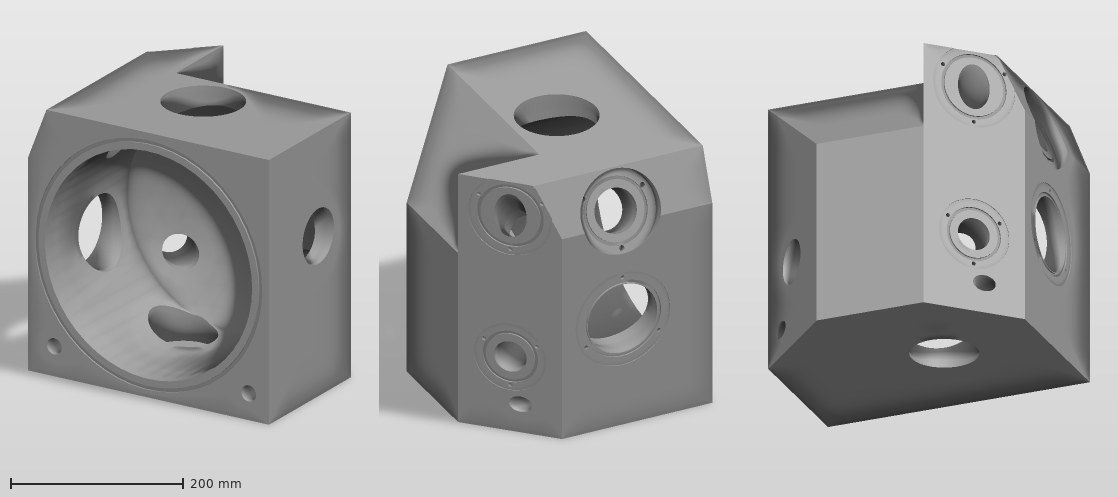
import cadquery as cq
import math

WIDTH = 330.0
DEPTH = 285.0
HALF = WIDTH / 2
SHOULDER_RIGHT = 180.0
SHOULDER_LEFT = 195.0
CHAMFER_WIDTH = 25.0
CHAMFER_HEIGHT = 64.5

CAVITY_DIAMETER = 283.8
CAVITY_STRAIGHT = 181.0
DOME_RADIUS = 231.0
SEAL_OUTER = 311.2
SEAL_INNER = 301.5
SEAL_DEPTH = 2.0

AXIS_Y = 120.0
RIGHT_AXIS_Y = 117.0
SIDE_PORT_Y = 116.0
SIDE_PORT_Z = -24.5
CHAMFER_PORT_Z = 110.0
CHAMFER_SPOTFACE_DEPTH = 14.2
UPPER_PORT_Z = 120.5
LOWER_PORT_Z = -67.0
RIGHT_PORT_Z = -58.7
RIGHT_PORT_DIAMETER = 54.0
SLANTED_BORE_LENGTH = 80.5
SHALLOW_SPOTFACE = 1.0
GROOVE_DEPTH = 2.0
BOLT_HOLE_DEPTH = 10.0
BOLT_COUNT = 3
BOLT_UP = 90
BOLT_DOWN = -90

SIDE_PORT = {
    "spotface": 122.5,
    "groove_outer": 100.0,
    "groove_inner": 92.0,
    "bore": 90.0,
    "bolt_circle": 109.0,
    "bolt_hole": 5.0,
}
CHAMFER_PORT = {
    "spotface": 103.0,
    "groove_outer": 82.0,
    "groove_inner": 74.0,
    "bore": 54.0,
    "bolt_circle": 89.0,
    "bolt_hole": 6.5,
}
UPPER_PORT = {
    "spotface": 103.0,
    "groove_outer": 82.0,
    "groove_inner": 74.0,
    "bore": 40.0,
    "bolt_circle": 89.0,
    "bolt_hole": 5.0,
}
LOWER_PORT = {
    "spotface": 88.0,
    "groove_outer": 67.5,
    "groove_inner": 60.0,
    "bore": 40.0,
    "bolt_circle": 75.0,
    "bolt_hole": 5.0,
}

TOP_HOLE_DIAMETER = 100.0
TOP_HOLE_Y = 120.0
FLOOR_HOLE_DIAMETER = 82.0
FLOOR_HOLE_X = -41.0
FLOOR_HOLE_Y = 141.5
RIGHT_HOLE_DIAMETER = 69.0
RIGHT_HOLE_Y = 108.2
RIGHT_HOLE_Z = 34.3

MOUNT_DIAMETER = 20.0
MOUNT_CENTRES = [(-129.0, -127.7), (137.3, -131.7)]

LEFT_BEVEL_END = -HALF + DEPTH - SHOULDER_LEFT
RIGHT_BEVEL_END = HALF - (DEPTH - SHOULDER_RIGHT)
REACH = 132.0


def outward_plane(origin, normal):
    """Plane facing along normal, with its local x horizontal and its local y upward."""
    return cq.Plane(origin=origin, xDir=(-normal[1], normal[0], 0), normal=normal)


def bore(plane, diameter, length):
    """Cylinder that runs from the plane into the block (outward if length is negative)."""
    return cq.Workplane(plane).circle(diameter / 2).extrude(-length)


def ring_groove(plane, outer, inner, depth):
    return cq.Workplane(plane).circle(outer / 2).circle(inner / 2).extrude(-depth)


def port_face(body, seat, port, first_angle, spotface_height):
    """Cut a spotface down to the seat plane, then a seal groove and the bolt holes in it."""
    body = body.cut(cq.Workplane(seat).circle(port["spotface"] / 2).extrude(spotface_height))
    body = body.cut(ring_groove(seat, port["groove_outer"], port["groove_inner"], GROOVE_DEPTH))
    bolts = (
        cq.Workplane(seat)
        .polarArray(port["bolt_circle"] / 2, first_angle, 360, BOLT_COUNT)
        .circle(port["bolt_hole"] / 2)
        .extrude(-BOLT_HOLE_DEPTH)
    )
    return body.cut(bolts)


def block():
    outline = [
        (-HALF, 0),
        (HALF, 0),
        (HALF, SHOULDER_RIGHT),
        (RIGHT_BEVEL_END, DEPTH),
        (LEFT_BEVEL_END, DEPTH),
        (-HALF, SHOULDER_LEFT),
    ]
    body = cq.Workplane("XY", origin=(0, 0, -HALF)).polyline(outline).close().extrude(WIDTH)

    roof_run = DEPTH - SHOULDER_RIGHT
    roof = (
        cq.Workplane("YZ", origin=(LEFT_BEVEL_END, 0, 0))
        .polyline([(SHOULDER_RIGHT, HALF), (DEPTH, HALF), (DEPTH, HALF - roof_run)])
        .close()
        .extrude(HALF - LEFT_BEVEL_END)
    )
    chamfer = (
        cq.Workplane("XZ")
        .polyline([(-HALF, HALF), (-HALF + CHAMFER_WIDTH, HALF), (-HALF, HALF - CHAMFER_HEIGHT)])
        .close()
        .extrude(-DEPTH)
    )
    return body.cut(roof).cut(chamfer)


def cavity():
    rim = CAVITY_DIAMETER / 2
    dome_centre = CAVITY_STRAIGHT - math.sqrt(DOME_RADIUS**2 - rim**2)
    apex = dome_centre + DOME_RADIUS
    tube = bore(outward_plane((0, 0, 0), (0, -1, 0)), CAVITY_DIAMETER, apex)
    ball = cq.Workplane("XY", origin=(0, dome_centre, 0)).sphere(DOME_RADIUS)
    return tube.intersect(ball)


def cut_side_port(body):
    """Large port on the vertical left face."""
    normal = (-1, 0, 0)
    seat = outward_plane((-HALF + SHALLOW_SPOTFACE, SIDE_PORT_Y, SIDE_PORT_Z), normal)
    body = port_face(body, seat, SIDE_PORT, BOLT_UP, SHALLOW_SPOTFACE)
    return body.cut(bore(seat, SIDE_PORT["bore"], REACH))


def cut_chamfer_port(body):
    """Port square to the top left chamfer, on a deep spotface."""
    slant = math.hypot(CHAMFER_WIDTH, CHAMFER_HEIGHT)
    normal = (-CHAMFER_HEIGHT / slant, 0, CHAMFER_WIDTH / slant)
    rise = CHAMFER_PORT_Z - (HALF - CHAMFER_HEIGHT)
    chamfer_x = -HALF + rise * CHAMFER_WIDTH / CHAMFER_HEIGHT
    seat_x = chamfer_x + CHAMFER_SPOTFACE_DEPTH * slant / CHAMFER_HEIGHT
    seat = outward_plane((seat_x, SIDE_PORT_Y, CHAMFER_PORT_Z), normal)
    body = port_face(body, seat, CHAMFER_PORT, BOLT_DOWN, 2 * CHAMFER_SPOTFACE_DEPTH)
    return body.cut(bore(seat, CHAMFER_PORT["bore"], REACH))


def cut_left_bevel_ports(body):
    """Two ports on the left rear bevel; the upper one has a bore slanting down at 45 degrees."""
    half_root = math.sqrt(0.5)
    normal = (-half_root, half_root, 0)
    face_x = -(SHOULDER_LEFT + HALF - AXIS_Y) / 2
    seat_x = face_x + SHALLOW_SPOTFACE * half_root
    seat_y = AXIS_Y - seat_x

    lower = outward_plane((seat_x, seat_y, LOWER_PORT_Z), normal)
    body = port_face(body, lower, LOWER_PORT, BOLT_DOWN, SHALLOW_SPOTFACE)
    body = body.cut(bore(lower, LOWER_PORT["bore"], REACH))

    upper = outward_plane((seat_x, seat_y, UPPER_PORT_Z), normal)
    body = port_face(body, upper, UPPER_PORT, BOLT_DOWN, SHALLOW_SPOTFACE)
    slanted = outward_plane((seat_x, seat_y, UPPER_PORT_Z), (-0.5, 0.5, half_root))
    body = body.cut(bore(slanted, UPPER_PORT["bore"], SLANTED_BORE_LENGTH))
    return body.cut(bore(slanted, UPPER_PORT["bore"], -UPPER_PORT["bore"]))


def cut_right_bevel_port(body):
    face_x = (SHOULDER_RIGHT + HALF - RIGHT_AXIS_Y) / 2
    plane = outward_plane((face_x, RIGHT_AXIS_Y + face_x, RIGHT_PORT_Z), (1, 1, 0))
    return body.cut(bore(plane, RIGHT_PORT_DIAMETER, REACH))


def cut_plain_holes(body):
    top = cq.Plane(origin=(0, TOP_HOLE_Y, HALF), normal=(0, 0, 1))
    floor = cq.Plane(origin=(FLOOR_HOLE_X, FLOOR_HOLE_Y, -HALF), normal=(0, 0, -1))
    right = outward_plane((HALF, RIGHT_HOLE_Y, RIGHT_HOLE_Z), (1, 0, 0))
    body = body.cut(bore(top, TOP_HOLE_DIAMETER, REACH))
    body = body.cut(bore(floor, FLOOR_HOLE_DIAMETER, REACH))
    body = body.cut(bore(right, RIGHT_HOLE_DIAMETER, REACH))
    for x, z in MOUNT_CENTRES:
        body = body.cut(bore(outward_plane((x, 0, z), (0, -1, 0)), MOUNT_DIAMETER, DEPTH))
    return body


front = outward_plane((0, 0, 0), (0, -1, 0))
result = block().cut(cavity())
result = result.cut(ring_groove(front, SEAL_OUTER, SEAL_INNER, SEAL_DEPTH))
result = cut_side_port(result)
result = cut_chamfer_port(result)
result = cut_left_bevel_ports(result)
result = cut_right_bevel_port(result)
result = cut_plain_holes(result)